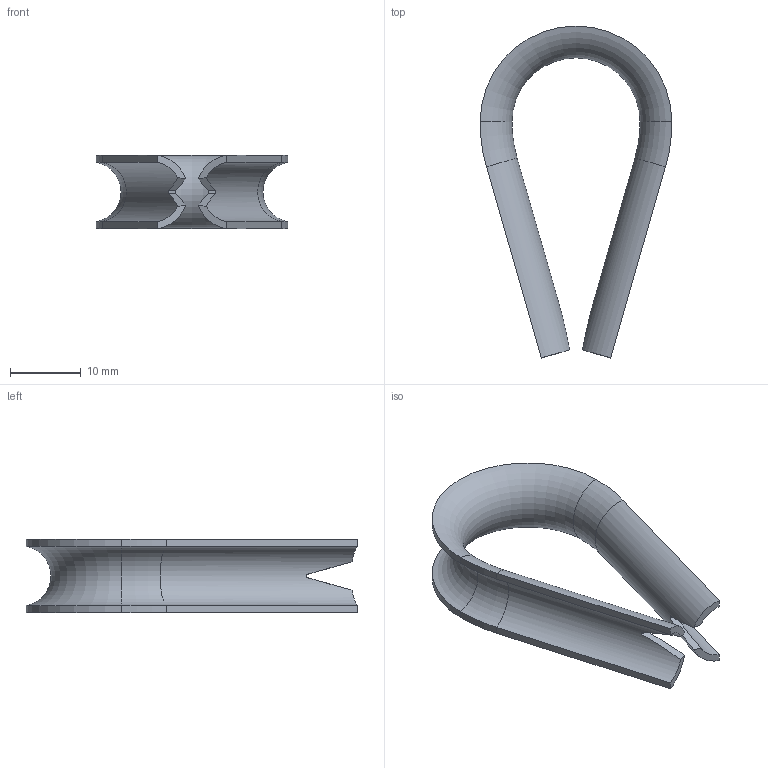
import cadquery as cq
import math


rim_radius = 13.5
shoulder_radius = 23.0
leg_angle = 16.0
leg_end_y = -33.25

height = 10.36
wall = 1.0
depth = 4.5

notch_apex_y = -26.0
notch_tip_y = -32.5
notch_tip_width = 4.04
notch_apex_width = 0.4

half_height = height / 2
back_radius = (half_height**2 + depth**2) / (2 * depth)
groove_radius = back_radius - wall
arc_center_offset = back_radius - depth
groove_half_opening = math.sqrt(groove_radius**2 - arc_center_offset**2)

turn = math.radians(leg_angle)
shoulder_center_x = shoulder_radius - rim_radius
leg_start_x = shoulder_center_x - shoulder_radius * math.cos(turn)
leg_start_y = -shoulder_radius * math.sin(turn)
leg_length = (leg_start_y - leg_end_y) / math.cos(turn)

crown_end = cq.Plane(origin=(-rim_radius, 0, 0), xDir=(-1, 0, 0), normal=(0, 1, 0))


def channel_profile(plane):
    """C-shaped section with its rim at the plane origin and the first axis pointing outward."""
    return (
        cq.Workplane(plane)
        .moveTo(0, half_height)
        .threePointArc((-depth, 0), (0, -half_height))
        .lineTo(0, -groove_half_opening)
        .threePointArc((-depth + wall, 0), (0, groove_half_opening))
        .close()
    )


def crown():
    """Half turn over the top of the loop, from the left side to the right."""
    return channel_profile(crown_end).revolve(180, (-rim_radius, 1), (-rim_radius, 0))


def left_shoulder():
    """Short arc from the crown to the left leg."""
    return channel_profile(crown_end).revolve(leg_angle, (-shoulder_radius, 0), (-shoulder_radius, 1))


def left_leg():
    """Straight leg running inward from the left shoulder."""
    start = cq.Plane(
        origin=(leg_start_x, leg_start_y, 0),
        xDir=(-math.cos(turn), -math.sin(turn), 0),
        normal=(math.sin(turn), -math.cos(turn), 0),
    )
    return channel_profile(start).extrude(leg_length)


def end_notch():
    """Tapered cutter running along X through both legs, carried on past their ends."""
    apex_half = notch_apex_width / 2
    tip_half = notch_tip_width / 2
    slope = (tip_half - apex_half) / (notch_apex_y - notch_tip_y)
    outer_y = leg_end_y - wall
    outer_half = apex_half + slope * (notch_apex_y - outer_y)
    return (
        cq.Workplane("YZ")
        .moveTo(notch_apex_y, apex_half)
        .lineTo(outer_y, outer_half)
        .lineTo(outer_y, -outer_half)
        .lineTo(notch_apex_y, -apex_half)
        .close()
        .extrude(rim_radius, both=True)
    )


left_side = left_shoulder().union(left_leg())
right_side = left_side.mirror("YZ")
result = crown().union(left_side).union(right_side).cut(end_notch())